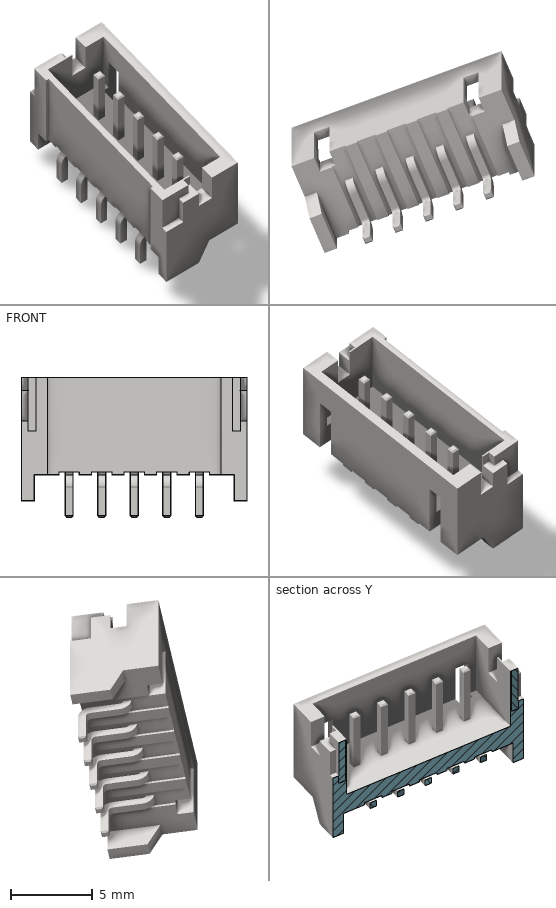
import cadquery as cq


length = 13.9
depth = 5.5
height = 5.99
half_length = length / 2
pin_count = 5
pitch = 2.0

wall_end = 1.0
wall_front = 0.6
wall_back = 0.6
floor_thickness = 1.5

recess_depth = 0.2
ridge_width = 1.63

foot_drop = 1.61
foot_width = 0.8
foot_slope_top_y = depth - 2.2
foot_slope_bottom_y = depth - 3.0

notch_back_y = depth - 2.0
notch_front_y = depth - 3.0
notch_depth = 2.0

lip = 0.1
upper_step_drop = 0.8
lower_step_drop = 2.7
lower_step_y = depth - 4.21

clip_offset = 0.42
clip_thickness = wall_end - lip - clip_offset
clip_length = 2.0
clip_height = 3.31

window_inset = 1.5
window_width = 1.0
window_floor_reach = 0.39
window_height = 3.99

groove_width = 1.24
groove_depth = 0.17

pin_size = 0.5
pin_y = depth - 2.4
pin_top_gap = 0.4
pin_tail_drop = 2.61
pin_tip_chamfer = 0.1
bend_inner = 0.25
bend_outer = bend_inner + pin_size

pin_places = [(i - (pin_count - 1) / 2) * pitch for i in range(pin_count)]
sides = (-1, 1)


def box(x_range, y_range, z_range):
    """Box between two limits on each axis, given in either order."""
    limits = [sorted(r) for r in (x_range, y_range, z_range)]
    sizes = [high - low for low, high in limits]
    corner = cq.Vector(*[low for low, high in limits])
    return cq.Workplane(cq.Solid.makeBox(*sizes, corner))


def end_range(side, start, end):
    """X limits at one end of the part, measured inward from its outer end face."""
    return side * (half_length - start), side * (half_length - end)


def make_foot(side):
    """Foot under one end wall, with a sloping back."""
    outline = [
        (0, 0),
        (foot_slope_top_y, 0),
        (foot_slope_bottom_y, -foot_drop),
        (0, -foot_drop),
    ]
    start = min(end_range(side, 0, foot_width))
    return cq.Workplane("YZ", origin=(start, 0, 0)).polyline(outline).close().extrude(foot_width)


def make_clip(side):
    """Flat clip standing in the front part of one end wall."""
    x_range = end_range(side, clip_offset, clip_offset + clip_thickness)
    return box(x_range, (0, clip_length), (height - clip_height, height))


def cut_end_wall(body, side):
    """Cut the notch, the two steps, the clip slot and the window at one end."""
    body = body.cut(box(
        end_range(side, 0, wall_end), (notch_front_y, notch_back_y), (height - notch_depth, height)))
    body = body.cut(box(
        end_range(side, 0, wall_end - lip), (0, notch_front_y), (height - upper_step_drop, height)))
    body = body.cut(box(
        end_range(side, 0, clip_offset), (0, lower_step_y), (height - lower_step_drop, height)))
    body = body.cut(make_clip(side))
    return body.cut(box(
        end_range(side, window_inset, window_inset + window_width),
        (depth - wall_back - window_floor_reach, depth),
        (0, window_height)))


def make_pin(x):
    """Square pin: upright, bent forward under the floor, then bent down to its tail."""
    front_y = pin_y - pin_size / 2
    back_y = pin_y + pin_size / 2
    top = height - pin_top_gap
    outline = (
        cq.Workplane("YZ", origin=(x - pin_size / 2, 0, 0))
        .moveTo(front_y, top)
        .lineTo(front_y, bend_inner)
        .radiusArc((front_y - bend_inner, 0), bend_inner)
        .lineTo(bend_outer, 0)
        .radiusArc((0, -bend_outer), -bend_outer)
        .lineTo(0, -pin_tail_drop)
        .lineTo(pin_size, -pin_tail_drop)
        .lineTo(pin_size, -bend_outer)
        .radiusArc((bend_outer, -pin_size), bend_inner)
        .lineTo(front_y - bend_inner, -pin_size)
        .radiusArc((back_y, bend_inner), -bend_outer)
        .lineTo(back_y, top)
        .close()
    )
    pin = outline.extrude(pin_size)
    return pin.faces(">Z or <Z").chamfer(pin_tip_chamfer)


def make_housing(pins):
    """Open box with feet, end-wall cuts, grooves and a hole for each pin."""
    body = box((-half_length, half_length), (0, depth), (0, height))
    for side in sides:
        body = body.union(make_foot(side))

    cavity_half = half_length - wall_end
    cavity = box((-cavity_half, cavity_half), (wall_front, depth - wall_back), (floor_thickness, height))
    body = body.cut(cavity)

    recess_half = half_length - ridge_width
    body = body.cut(box((-recess_half, recess_half), (0, recess_depth), (0, height)))

    for side in sides:
        body = cut_end_wall(body, side)

    for x in pin_places:
        body = body.cut(box((x - groove_width / 2, x + groove_width / 2), (0, depth), (0, groove_depth)))
    for pin in pins:
        body = body.cut(pin)
    return body


pins = [make_pin(x) for x in pin_places]
clips = [make_clip(side) for side in sides]
housing = make_housing(pins)

result = cq.Compound.makeCompound([
    housing.val(),
    *[pin.val() for pin in pins],
    *[clip.val() for clip in clips],
])